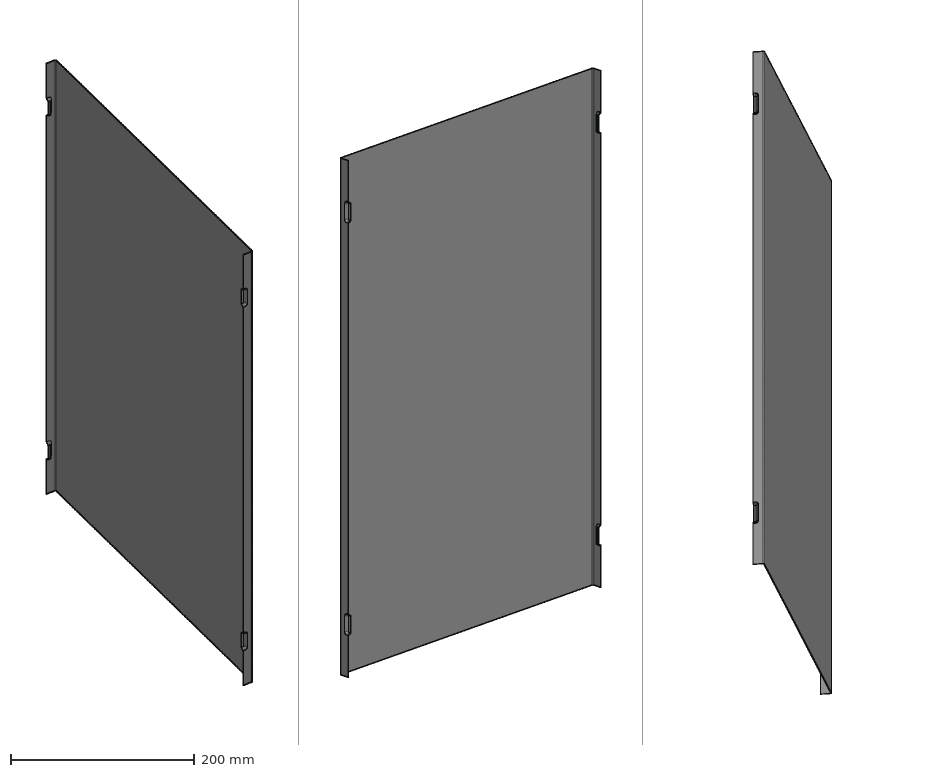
import cadquery as cq

width = 400.0
depth = 12.5
height = 600.0
sheet = 1.0

bend_outer_radius = 2.0
bend_inner_radius = bend_outer_radius - sheet

dimple_end_offset = 60.5
dimple_length = 24.0
dimple_reach = 5.5
dimple_press = 3.5
dimple_taper = 35.0
dimple_corner_radius = 3.0
dimple_wall_growth = 0.5

front_y = -depth / 2
half_width = width / 2
dimple_z = height / 2 - dimple_end_offset


def folded_channel():
    """Flat panel at the back with a flange folded forward along each side."""
    outer = (
        cq.Workplane("XY")
        .box(width, depth, height)
        .edges("|Z and >Y")
        .fillet(bend_outer_radius)
    )
    inner = (
        cq.Workplane("XY")
        .box(width - 2 * sheet, depth, height)
        .translate((0, -sheet, 0))
        .edges("|Z and >Y")
        .fillet(bend_inner_radius)
    )
    return outer.cut(inner)


def half_dimple(base_x, growth):
    """Rounded, tapered block leading inward (+X) from the left flange, cut flush with its free edge."""
    reach = dimple_reach + growth
    length = dimple_length + 2 * growth
    whole = (
        cq.Workplane("YZ", origin=(base_x, front_y, 0))
        .sketch()
        .rect(2 * reach, length)
        .vertices()
        .fillet(dimple_corner_radius + growth)
        .finalize()
        .extrude(dimple_press, taper=dimple_taper)
    )
    in_front = cq.Workplane("XY").box(width, depth, height).translate((0, -depth, 0))
    return whole.cut(in_front)


raised_side = half_dimple(sheet - half_width, dimple_wall_growth)
hollow_side = half_dimple(-half_width, 0)

result = folded_channel()
for z in (-dimple_z, dimple_z):
    for turned in (False, True):
        raised = raised_side.mirror("YZ") if turned else raised_side
        hollow = hollow_side.mirror("YZ") if turned else hollow_side
        result = result.union(raised.translate((0, 0, z))).cut(hollow.translate((0, 0, z)))